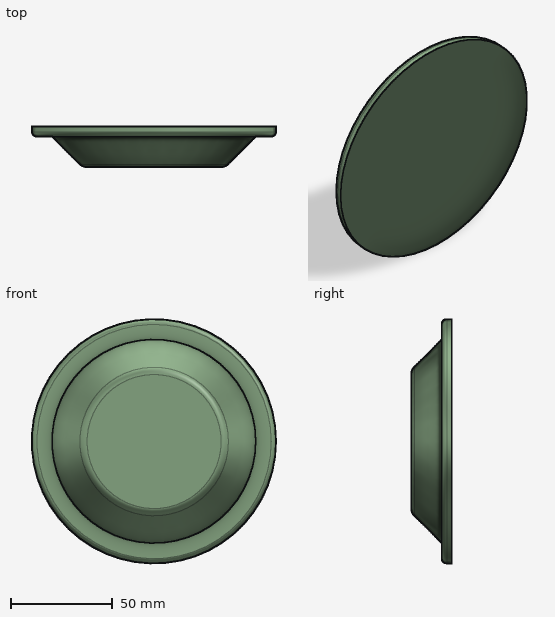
import cadquery as cq
import math

rim_diameter = 120.0
total_depth = 20.0
rim_thickness = 5.0
rim_round = rim_thickness / 2

boss_base_diameter = 100.0
boss_taper_angle = 45.0
boss_edge_round = 5.0

boss_depth = total_depth - rim_thickness
boss_face_diameter = boss_base_diameter - 2 * boss_depth * math.tan(math.radians(boss_taper_angle))


def make_rim():
    """Flat disc with its front edge rounded."""
    disc = cq.Workplane("XZ").circle(rim_diameter / 2).extrude(rim_thickness)
    return disc.faces("<Y").edges().fillet(rim_round)


def make_boss():
    """Cone frustum in front of the rim, narrowing to a rounded front face."""
    outline = (
        cq.Workplane("XY")
        .moveTo(0, -rim_thickness)
        .lineTo(boss_base_diameter / 2, -rim_thickness)
        .lineTo(boss_face_diameter / 2, -total_depth)
        .lineTo(0, -total_depth)
        .close()
    )
    frustum = outline.revolve(360, (0, 0, 0), (0, 1, 0))
    return frustum.faces("<Y").edges().fillet(boss_edge_round)


def make_dish():
    """One-piece dish: the rim and the boss that rises from it."""
    return make_rim().union(make_boss())


dish = make_dish()

result = cq.Compound.makeCompound([*dish.solids().vals()])